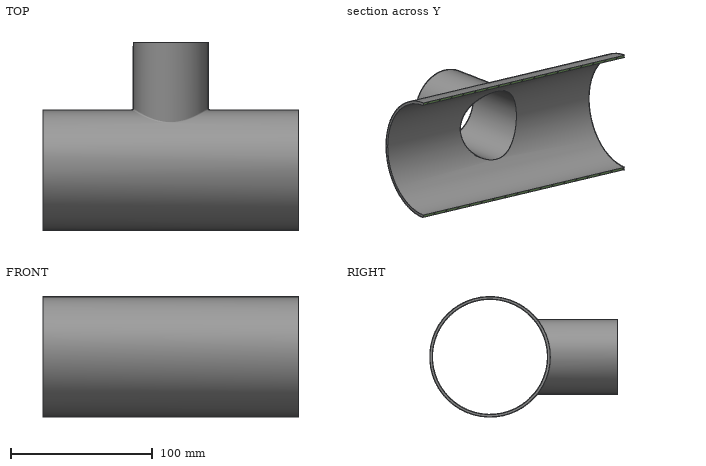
import cadquery as cq

run_length = 180.0
run_outer_diameter = 85.0
run_inner_diameter = 81.0

branch_reach = 90.0
branch_outer_diameter = 53.0
branch_inner_diameter = 50.0

seam_radius = 1.0


def run_cylinder(diameter):
    """Solid cylinder over the full length of the run."""
    return cq.Workplane("YZ").circle(diameter / 2).extrude(run_length / 2, both=True)


def branch_cylinder(diameter):
    """Solid cylinder from the run axis to the open end of the branch."""
    return cq.Workplane("XZ").circle(diameter / 2).extrude(-branch_reach)


outer_body = run_cylinder(run_outer_diameter).union(branch_cylinder(branch_outer_diameter))

seam_zone = cq.selectors.BoxSelector(
    (-branch_outer_diameter, 0, -branch_outer_diameter),
    (branch_outer_diameter, run_outer_diameter, branch_outer_diameter),
    boundingbox=True,
)
outer_body = outer_body.edges(seam_zone).fillet(seam_radius)

result = outer_body.cut(run_cylinder(run_inner_diameter)).cut(branch_cylinder(branch_inner_diameter))